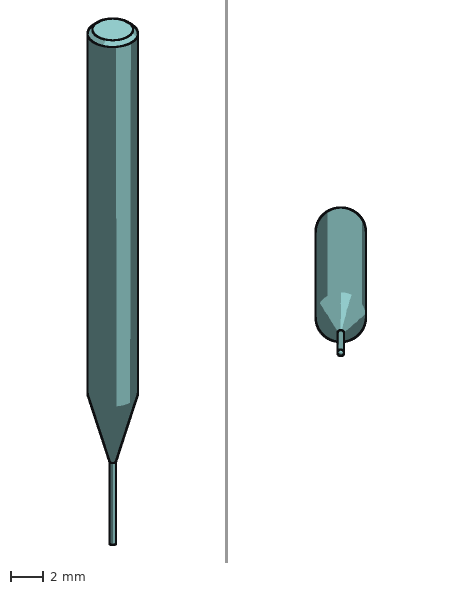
import cadquery as cq

total_length = 38.1
shank_diameter = 3.15
end_chamfer = 0.3

tip_diameter = 0.42
point_height = 0.1
cutting_length = 6.17
taper_length = 5.03

shank_radius = shank_diameter / 2
tip_radius = tip_diameter / 2
taper_top = cutting_length + taper_length


def revolve_about_z(profile):
    """Turn a closed half profile in the XZ plane into a round solid."""
    return profile.revolve(360, (0, 0, 0), (0, 1, 0))


def make_shank():
    """Chamfered cylindrical shank tapering down to the cutting end."""
    profile = (
        cq.Workplane("XZ")
        .moveTo(0, cutting_length)
        .lineTo(tip_radius, cutting_length)
        .lineTo(shank_radius, taper_top)
        .lineTo(shank_radius, total_length - end_chamfer)
        .lineTo(shank_radius - end_chamfer, total_length)
        .lineTo(0, total_length)
        .close()
    )
    return revolve_about_z(profile)


def make_cutting_end():
    """Slender cylinder with a conical point, butted against the taper."""
    profile = (
        cq.Workplane("XZ")
        .lineTo(tip_radius, point_height)
        .lineTo(tip_radius, cutting_length)
        .lineTo(0, cutting_length)
        .close()
    )
    return revolve_about_z(profile)


shank = make_shank()
cutting_end = make_cutting_end()
result = cq.Compound.makeCompound([shank.val(), cutting_end.val()])